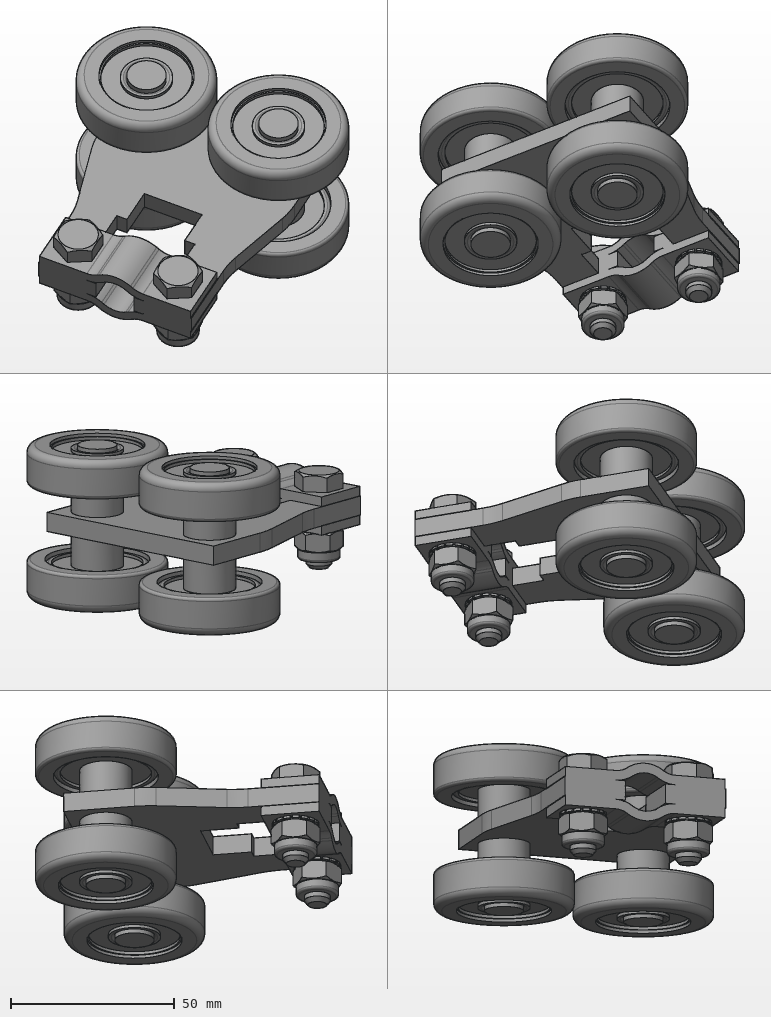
import cadquery as cq
import math


WHEEL_DIAMETER = 43.0
WHEEL_RADIUS = WHEEL_DIAMETER / 2
WHEEL_SPACING = 44.95
OVERALL_HEIGHT = 48.0
WHEEL_TOP = OVERALL_HEIGHT / 2
WHEEL_WIDTH = 12.0
WHEEL_BOTTOM = WHEEL_TOP - WHEEL_WIDTH
TREAD_OUTER_ROUNDING = 2.5
TREAD_INNER_ROUNDING = 1.0
BEARING_INSET = 1.0
SHIELD_INSET = 1.0
BEARING_OUTER_DIAMETER = 32.0
OUTER_LIP_DIAMETER = 29.0
SHIELD_DIAMETER = 28.0
AXLE_DIAMETER = 16.0
BEARING_EDGE_ROUNDING = 1.1
AXLE_TIP_DIAMETER = 12.0

PLATE_THICKNESS = 6.0
PLATE_TOP = PLATE_THICKNESS / 2
OVERALL_LENGTH = 88.5
PLATE_FRONT = WHEEL_RADIUS - OVERALL_LENGTH
PLATE_BACK = 11.0
PLATE_BACK_HALF_WIDTH = 33.4
PLATE_FRONT_HALF_WIDTH = 26.0
PLATE_CORNER_INSET = 25.3
PLATE_CORNER_RADIUS = 24.95
MOUTH_HALF_WIDTH = 6.5
WINDOW_WIDE_HALF_WIDTH = 13.3
WINDOW_NARROW_HALF_WIDTH = 9.8
WINDOW_STEP = PLATE_FRONT + 28.05
WINDOW_END = PLATE_FRONT + 40.0

STRAP_THICKNESS = 3.0
STRAP_TOP = PLATE_TOP + STRAP_THICKNESS
STRAP_LENGTH = 18.05
STRAP_HALF_WIDTH = 25.75
PAD_INNER_EDGE = 9.6
ARCH_HEIGHT = 9.0
ARCH_RADIUS = 10.0
ARCH_ANGLE = math.radians(32)

BOLT_X = 17.0
BOLT_Y = PLATE_FRONT + STRAP_LENGTH / 2
BOLT_DIAMETER = 8.0
BOLT_TIP_DIAMETER = 5.7
BOLT_TIP_CHAMFER = 1.3
BOLT_PROTRUSION = 13.1
HEX_SIDES = 6
HALF_HEX_ANGLE = 180 / HEX_SIDES
HEX_FLATS = 13.0
HEX_CHAMFER_CIRCLE = 12.3
HEX_CHAMFER_ANGLE = math.radians(30)
HEAD_HEIGHT = 5.3
WASHER_DIAMETER = 14.3
WASHER_THICKNESS = 0.8
WASHER_TEETH = 16
TOOTH_GAP_WIDTH = 0.6
TOOTH_GAP_DEPTH = 1.1
NUT_HEX_HEIGHT = 6.3
NUT_COLLAR_DIAMETER = 13.0
NUT_COLLAR_HEIGHT = 3.2
NUT_COLLAR_ROUNDING = 0.8
LEFT_NUT_TURN = 7.2
RIGHT_NUT_TURN = 2.4


def carrier_plate():
    back_corner = PLATE_BACK - PLATE_CORNER_INSET
    front_corner = PLATE_FRONT + PLATE_CORNER_INSET
    right_side = [
        (PLATE_FRONT_HALF_WIDTH, PLATE_FRONT),
        (PLATE_FRONT_HALF_WIDTH, front_corner),
        (PLATE_BACK_HALF_WIDTH, back_corner),
        (PLATE_BACK_HALF_WIDTH, PLATE_BACK),
    ]
    left_side = [(-x, y) for x, y in reversed(right_side)]
    plate = (
        cq.Workplane("XY")
        .workplane(offset=-PLATE_TOP)
        .polyline(right_side + left_side)
        .close()
        .extrude(PLATE_THICKNESS)
    )
    for side in (-1, 1):
        for x, y in right_side[1:3]:
            corner = cq.selectors.NearestToPointSelector((side * x, y, 0))
            plate = plate.edges("|Z").edges(corner).fillet(PLATE_CORNER_RADIUS)
    return plate.cut(plate_window())


def plate_window():
    strap_back = PLATE_FRONT + STRAP_LENGTH
    right_side = [
        (MOUTH_HALF_WIDTH, PLATE_FRONT),
        (MOUTH_HALF_WIDTH, strap_back),
        (WINDOW_WIDE_HALF_WIDTH, strap_back),
        (WINDOW_WIDE_HALF_WIDTH, WINDOW_STEP),
        (WINDOW_NARROW_HALF_WIDTH, WINDOW_STEP),
        (WINDOW_NARROW_HALF_WIDTH, WINDOW_END),
    ]
    left_side = [(-x, y) for x, y in reversed(right_side)]
    return (
        cq.Workplane("XY")
        .workplane(offset=-PLATE_TOP)
        .polyline(right_side + left_side)
        .close()
        .extrude(PLATE_THICKNESS)
    )


def upper_wheel():
    """Upper half of an axle with its bearing and wheel, turned from a half section."""
    bearing_top = WHEEL_TOP - BEARING_INSET
    bearing_bottom = WHEEL_BOTTOM + BEARING_INSET
    shield_top = bearing_top - SHIELD_INSET
    shield_bottom = bearing_bottom + SHIELD_INSET
    bearing_radius = BEARING_OUTER_DIAMETER / 2
    tip_radius = AXLE_TIP_DIAMETER / 2
    quarter_round_inset = 1 - math.sqrt(0.5)
    outer_inset = TREAD_OUTER_ROUNDING * quarter_round_inset
    inner_inset = TREAD_INNER_ROUNDING * quarter_round_inset
    edge_inset = BEARING_EDGE_ROUNDING * quarter_round_inset
    section = (
        cq.Workplane("XZ")
        .moveTo(0, 0)
        .lineTo(AXLE_DIAMETER / 2, 0)
        .lineTo(AXLE_DIAMETER / 2, shield_bottom)
        .lineTo(SHIELD_DIAMETER / 2, shield_bottom)
        .lineTo(SHIELD_DIAMETER / 2, bearing_bottom)
        .lineTo(bearing_radius - BEARING_EDGE_ROUNDING, bearing_bottom)
        .threePointArc(
            (bearing_radius - edge_inset, bearing_bottom + edge_inset),
            (bearing_radius, bearing_bottom + BEARING_EDGE_ROUNDING),
        )
        .lineTo(bearing_radius, WHEEL_BOTTOM)
        .lineTo(WHEEL_RADIUS - TREAD_INNER_ROUNDING, WHEEL_BOTTOM)
        .threePointArc(
            (WHEEL_RADIUS - inner_inset, WHEEL_BOTTOM + inner_inset),
            (WHEEL_RADIUS, WHEEL_BOTTOM + TREAD_INNER_ROUNDING),
        )
        .lineTo(WHEEL_RADIUS, WHEEL_TOP - TREAD_OUTER_ROUNDING)
        .threePointArc(
            (WHEEL_RADIUS - outer_inset, WHEEL_TOP - outer_inset),
            (WHEEL_RADIUS - TREAD_OUTER_ROUNDING, WHEEL_TOP),
        )
        .lineTo(OUTER_LIP_DIAMETER / 2, WHEEL_TOP)
        .lineTo(OUTER_LIP_DIAMETER / 2, bearing_top)
        .lineTo(SHIELD_DIAMETER / 2, bearing_top)
        .lineTo(SHIELD_DIAMETER / 2, shield_top)
        .lineTo(AXLE_DIAMETER / 2, shield_top)
        .lineTo(AXLE_DIAMETER / 2, bearing_top)
        .lineTo(tip_radius + BEARING_EDGE_ROUNDING, bearing_top)
        .threePointArc(
            (tip_radius + edge_inset, bearing_top - edge_inset),
            (tip_radius, bearing_top - BEARING_EDGE_ROUNDING),
        )
        .lineTo(tip_radius, WHEEL_TOP)
        .lineTo(0, WHEEL_TOP)
        .close()
    )
    return section.revolve(360, (0, 0, 0), (0, 1, 0))


def upper_strap():
    """Strap of even thickness: flat pads joined to the arch by straight ramps and tangent bends."""
    sine = math.sin(ARCH_ANGLE)
    cosine = math.cos(ARCH_ANGLE)
    arch_z = ARCH_HEIGHT - ARCH_RADIUS
    bend_run = PAD_INNER_EDGE - ARCH_RADIUS * sine
    bend_drop = arch_z + ARCH_RADIUS * cosine - STRAP_TOP
    ramp_length = bend_drop / math.tan(ARCH_ANGLE / 2) - bend_run
    bend_radius = (bend_run - ramp_length * cosine) / sine
    bend_z = STRAP_TOP + bend_radius
    lower_arch = ARCH_RADIUS - STRAP_THICKNESS
    lower_bend = bend_radius + STRAP_THICKNESS

    def arch_point(radius, side):
        return (side * radius * sine, arch_z + radius * cosine)

    def bend_point(radius, side, angle):
        x = PAD_INNER_EDGE - radius * math.sin(angle)
        return (side * x, bend_z - radius * math.cos(angle))

    return (
        cq.Workplane("XZ", origin=(0, PLATE_FRONT, 0))
        .moveTo(-STRAP_HALF_WIDTH, PLATE_TOP)
        .lineTo(-STRAP_HALF_WIDTH, STRAP_TOP)
        .lineTo(-PAD_INNER_EDGE, STRAP_TOP)
        .threePointArc(bend_point(bend_radius, -1, ARCH_ANGLE / 2), bend_point(bend_radius, -1, ARCH_ANGLE))
        .lineTo(*arch_point(ARCH_RADIUS, -1))
        .threePointArc((0, arch_z + ARCH_RADIUS), arch_point(ARCH_RADIUS, 1))
        .lineTo(*bend_point(bend_radius, 1, ARCH_ANGLE))
        .threePointArc(bend_point(bend_radius, 1, ARCH_ANGLE / 2), (PAD_INNER_EDGE, STRAP_TOP))
        .lineTo(STRAP_HALF_WIDTH, STRAP_TOP)
        .lineTo(STRAP_HALF_WIDTH, PLATE_TOP)
        .lineTo(PAD_INNER_EDGE, PLATE_TOP)
        .threePointArc(bend_point(lower_bend, 1, ARCH_ANGLE / 2), bend_point(lower_bend, 1, ARCH_ANGLE))
        .lineTo(*arch_point(lower_arch, 1))
        .threePointArc((0, arch_z + lower_arch), arch_point(lower_arch, -1))
        .lineTo(*bend_point(lower_bend, -1, ARCH_ANGLE))
        .threePointArc(bend_point(lower_bend, -1, ARCH_ANGLE / 2), (-PAD_INNER_EDGE, PLATE_TOP))
        .close()
        .extrude(-STRAP_LENGTH)
    )


def hexagon(height):
    """Hexagonal prism standing on the XY plane, with two flats facing along X."""
    corner_circle = HEX_FLATS / math.cos(math.radians(HALF_HEX_ANGLE))
    prism = cq.Workplane("XY").polygon(HEX_SIDES, corner_circle).extrude(height)
    return prism.rotate((0, 0, 0), (0, 0, 1), HALF_HEX_ANGLE)


def chamfer_envelope(height, chamfer_bottom):
    """Turned blank that bevels the corners of a hexagonal prism at its top and, if asked, at its bottom."""
    corner_radius = HEX_FLATS / 2 / math.cos(math.radians(HALF_HEX_ANGLE))
    face_radius = HEX_CHAMFER_CIRCLE / 2
    drop = (corner_radius - face_radius) * math.tan(HEX_CHAMFER_ANGLE)
    bottom = [(face_radius, 0), (corner_radius, drop)] if chamfer_bottom else [(corner_radius, 0)]
    top = [(corner_radius, height - drop), (face_radius, height), (0, height)]
    section = cq.Workplane("XZ").polyline([(0, 0)] + bottom + top).close()
    return section.revolve(360, (0, 0, 0), (0, 1, 0))


def bolt_head():
    head = hexagon(HEAD_HEIGHT).intersect(chamfer_envelope(HEAD_HEIGHT, False))
    return head.translate((0, 0, STRAP_TOP))


def bolt_shank():
    tip_z = -STRAP_TOP - BOLT_PROTRUSION
    section = [
        (0, STRAP_TOP),
        (BOLT_DIAMETER / 2, STRAP_TOP),
        (BOLT_DIAMETER / 2, tip_z + BOLT_TIP_CHAMFER),
        (BOLT_TIP_DIAMETER / 2, tip_z),
        (0, tip_z),
    ]
    return cq.Workplane("XZ").polyline(section).close().revolve(360, (0, 0, 0), (0, 1, 0))


def toothed_washer():
    bottom = -STRAP_TOP - WASHER_THICKNESS
    washer = cq.Workplane("XY").workplane(offset=bottom).circle(WASHER_DIAMETER / 2).extrude(WASHER_THICKNESS)
    gaps = (
        cq.Workplane("XY")
        .workplane(offset=bottom)
        .polarArray(WASHER_DIAMETER / 2, -90, 360, WASHER_TEETH)
        .rect(2 * TOOTH_GAP_DEPTH, TOOTH_GAP_WIDTH)
        .extrude(WASHER_THICKNESS)
    )
    return washer.cut(gaps)


def lock_nut(turn):
    top = -STRAP_TOP - WASHER_THICKNESS
    hex_part = hexagon(NUT_HEX_HEIGHT).intersect(chamfer_envelope(NUT_HEX_HEIGHT, True))
    hex_part = hex_part.rotate((0, 0, 0), (0, 0, 1), turn).translate((0, 0, top - NUT_HEX_HEIGHT))
    collar = (
        cq.Workplane("XY")
        .workplane(offset=top - NUT_HEX_HEIGHT)
        .circle(NUT_COLLAR_DIAMETER / 2)
        .extrude(-NUT_COLLAR_HEIGHT)
        .faces("<Z")
        .edges()
        .fillet(NUT_COLLAR_ROUNDING)
    )
    return hex_part.union(collar)


def bolt_set(x, nut_turn):
    """Bolt through the straps at the given X, with its toothed washer and lock nut below."""
    bolt = bolt_head().union(bolt_shank()).union(toothed_washer()).union(lock_nut(nut_turn))
    return bolt.translate((x, BOLT_Y, 0))


def build_carriage():
    carriage = carrier_plate()
    wheel = upper_wheel()
    wheel_pair = wheel.union(wheel.mirror("XY"))
    for side in (-1, 1):
        carriage = carriage.union(wheel_pair.translate((side * WHEEL_SPACING / 2, 0, 0)))
    strap = upper_strap()
    carriage = carriage.union(strap).union(strap.mirror("XY"))
    right_bolt_hole = (
        cq.Workplane("XY", origin=(BOLT_X, BOLT_Y, -STRAP_TOP))
        .circle(BOLT_DIAMETER / 2)
        .extrude(2 * STRAP_TOP)
    )
    left_bolt = bolt_set(-BOLT_X, LEFT_NUT_TURN)
    return carriage.union(left_bolt).cut(right_bolt_hole)


def build_release_bolt():
    return bolt_set(BOLT_X, RIGHT_NUT_TURN)


carriage = build_carriage()
release_bolt = build_release_bolt()
result = cq.Compound.makeCompound([carriage.val(), release_bolt.val()])